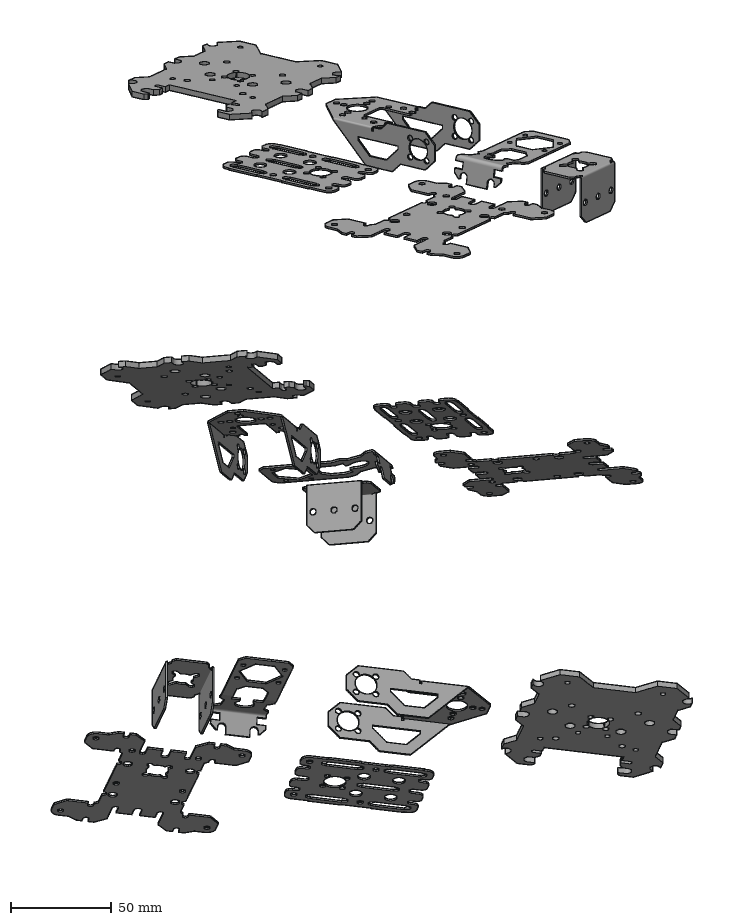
import cadquery as cq
import math

SHEET = 1.0
BASE_THICKNESS = 3.0
CUT = 100.0

BASE_AT = (0, 0)
YOKE_AT = (72.5, 0.35)
SENSOR_AT = (174.95, 8.9)
CHANNEL_AT = (211.35, -5.2)
CAGE_AT = (101.2, -88.75)
LEG_PLATE_AT = (202.19, -111.06)

SMALL_HOLE = 2.4
SERVO_SCREW_HOLE = 2.6
BOARD_HOLE = 3.2
BOARD_PITCH = 34.0

MOUNT_BORE = 11.2
MOUNT_SCREW = 3.0
MOUNT_OFFSET = 5.0



def mirrored(half):
    """Close a right-hand half outline with its reflection in the Y axis."""
    return half + [(-x, y) for x, y in reversed(half)]


def plate(points, thickness=SHEET):
    return cq.Workplane("XY").polyline(points).close().extrude(thickness)


def both_sides(points):
    return [(side * x, y) for side in (-1, 1) for x, y in points]


def square(pitch, x=0.0, y=0.0):
    half = pitch / 2
    return [(x + i * half, y + j * half) for i in (-1, 1) for j in (-1, 1)]


def cutter(plane="XY"):
    """Workplane set back so that a CUT-long extrusion spans the part."""
    return cq.Workplane(plane).workplane(offset=-CUT / 2)


def round_holes(points, diameter, plane="XY"):
    return cutter(plane).pushPoints(points).circle(diameter / 2).extrude(CUT)


def window(points, plane="XY"):
    return cutter(plane).polyline(points).close().extrude(CUT)


def closed_slot(x, y, length, width):
    return cutter().center(x, y).slot2D(length, width).extrude(CUT)


def open_slot(x, y, width, angle, reach=8.0):
    """Slot with its round end centred on (x, y), running out of the edge at the given angle."""
    channel = cutter().center(reach / 2, 0).rect(reach, width).extrude(CUT)
    end = round_holes([(0, 0)], width)
    return channel.union(end).rotate((0, 0, 0), (0, 0, 1), angle).translate((x, y, 0))


def motor_mount(x=0.0, y=0.0, plane="XY"):
    bore = round_holes([(x, y)], MOUNT_BORE, plane)
    return bore.union(round_holes(square(2 * MOUNT_OFFSET, x, y), MOUNT_SCREW, plane))


def star_mount(bore, slot_width, offset, y=0.0):
    """Bore crossed by two diagonal slots with round ends."""
    length = 2 * math.sqrt(2) * offset + slot_width
    star = round_holes([(0, 0)], bore)
    for angle in (45, -45):
        slot = cutter().slot2D(length, slot_width, angle).extrude(CUT)
        star = star.union(slot)
    return star.translate((0, y, 0))


def round_corner(body, x, y, radius, reach=1.0):
    """Fillet the upright edges within a box of half height `reach` around (x, y)."""
    box = cq.selectors.BoxSelector((x - 1, y - reach, -1), (x + 1, y + reach, SHEET + 1))
    return body.edges("|Z").edges(box).fillet(radius)


def cut_all(body, cutters):
    for tool in cutters:
        body = body.cut(tool)
    return body


def place(body, position):
    return body.translate((position[0], position[1], 0)).solids()



def make_base_plate():
    half_width = 40.8
    waist = 35.5
    top = 43.15
    bottom = -49.25
    bay_top = -30.55
    bay_half = 20.4
    shoulder = 30.0
    lug_half = 6.5
    step = half_width - waist
    slot = 5.12

    half = [
        (10.8, top - 8.9),
        (19.9, top),
        (shoulder, top),
        (half_width, top - (half_width - shoulder)),
        (half_width, 26.7),
        (waist, 26.7 - step),
        (waist, lug_half + step),
        (half_width, lug_half),
        (half_width, -lug_half),
        (waist, -lug_half - step),
        (waist, -26.4),
        (half_width, -26.4 - step),
        (half_width, -38.1),
        (29.8, bottom),
        (22.7, bottom),
        (21.2, bottom + 1.5),
        (21.2, bottom + 2.5),
        (22.9, -41.6),
        (bay_half, -39.1),
        (bay_half, bay_top),
    ]
    body = plate(mirrored(half), BASE_THICKNESS)

    cuts = [
        motor_mount(),
        round_holes(both_sides([(24.9, 5.9), (13.0, -6.0)]), 5.0),
        round_holes(square(BOARD_PITCH, 0, -3.0), BOARD_HOLE),
        round_holes(both_sides([(24.45, 36.0), (24.45, -22.0)]), SERVO_SCREW_HOLE),
        round_holes(both_sides([(7.5, -11.9)]), SERVO_SCREW_HOLE),
    ]
    slots = [
        (38.2, 31.5, slot, 45),
        (38.0, 0.0, slot, 0),
        (38.2, -37.9, slot, -45),
        (25.0, -43.85, slot, 180),
        (24.4, -35.25, SMALL_HOLE, 180),
    ]
    for x, y, width, angle in slots:
        cuts.append(open_slot(x, y, width, angle))
        cuts.append(open_slot(-x, y, width, 180 - angle))
    return cut_all(body, cuts)



def make_yoke():
    half_width = 19.6
    nose_x = -16.3
    nose_half = 4.1
    shoulder_x = nose_x + half_width - nose_half
    fold_end = 22.7
    fold_radius = 0.95
    relief = 1.0
    prong_x = 26.8
    prong_y = 10.4
    bay_x = 8.9
    bay_half = 7.6

    half = [
        (nose_x, nose_half),
        (shoulder_x, half_width),
        (fold_end, half_width),
        (23.8, 16.2),
        (prong_x, 12.6),
        (prong_x, bay_half),
        (bay_x + 0.8, bay_half),
        (bay_x, bay_half - 0.8),
    ]
    web = plate(half + [(x, -y) for x, y in reversed(half)])
    web = web.edges("|X").edges(">Z").edges(">Y or <Y").fillet(fold_radius)

    mount_x = 51.2
    mount_z = -5.0
    end_half = 10.0
    end_flat = end_half * math.tan(math.pi / 8)
    top_z = mount_z + end_half
    low_z = mount_z - end_half
    arm_bottom = -20.0
    arm_outline = [
        (fold_end, 0),
        (shoulder_x, 0),
        (shoulder_x - arm_bottom, arm_bottom),
        (35.2, arm_bottom),
        (35.2 + low_z - arm_bottom, low_z),
        (mount_x + end_flat, low_z),
        (mount_x + end_half, mount_z - end_flat),
        (mount_x + end_half, mount_z + end_flat),
        (mount_x + end_flat, top_z),
        (32.0, top_z),
        (32.0 - (top_z - SHEET), SHEET),
        (fold_end + relief, SHEET),
        (fold_end + relief, -relief),
        (fold_end, -relief),
    ]
    arm_window = [
        (14.3, -5.8),
        (38.7, -5.8),
        (38.7, -7.4),
        (31.5, -14.6),
        (21.5, -14.6),
        (14.3, -7.4),
    ]
    body = web
    for outer_y in (half_width, SHEET - half_width):
        arm = cq.Workplane("XZ", origin=(0, outer_y, 0)).polyline(arm_outline).close().extrude(SHEET)
        body = body.union(arm)

    cross = [(-1, 0), (0, 1), (0, -1)]
    return cut_all(body, [
        round_holes([(0, 0)], 10.6),
        round_holes([(8.2 * i, 8.2 * j) for i, j in cross], BOARD_HOLE),
        round_holes([(12.8 * i, 12.8 * j) for i, j in cross], 3.0),
        round_holes([(11.8, prong_y), (11.8, -prong_y)], SERVO_SCREW_HOLE),
        round_holes([(19.1, 12.8), (19.1, -12.8)], BOARD_HOLE),
        open_slot(prong_x - 1.2, prong_y, SMALL_HOLE, 0),
        open_slot(prong_x - 1.2, -prong_y, SMALL_HOLE, 0),
        motor_mount(mount_x, mount_z, "XZ"),
        window(arm_window, "XZ"),
    ])



def make_sensor_bracket():
    half_width = 14.1
    top_y = 13.85
    rise_y = -24.9
    rise_angle = math.radians(10.8)
    slope_length = 21.2
    bend_radius = 2.0
    flange_length = 11.5

    along = (-math.cos(rise_angle), math.sin(rise_angle))
    normal = (math.sin(rise_angle), math.cos(rise_angle))

    def on_slope(distance, height):
        """Point on the sloping sheet, measured from the start of its upper face."""
        return (
            rise_y + distance * along[0] + height * normal[0],
            SHEET + distance * along[1] + height * normal[1],
        )

    end = slope_length + bend_radius
    bend_mid = math.sqrt(0.5)
    inner_radius = bend_radius - SHEET
    profile = (
        cq.Workplane("YZ")
        .workplane(offset=-half_width)
        .moveTo(top_y, 0)
        .lineTo(top_y, SHEET)
        .lineTo(rise_y, SHEET)
        .lineTo(*on_slope(slope_length, 0))
        .threePointArc(
            on_slope(slope_length + bend_radius * bend_mid, bend_radius * (bend_mid - 1)),
            on_slope(end, -bend_radius),
        )
        .lineTo(*on_slope(end, -bend_radius - flange_length))
        .lineTo(*on_slope(end - SHEET, -bend_radius - flange_length))
        .lineTo(*on_slope(end - SHEET, -bend_radius))
        .threePointArc(
            on_slope(slope_length + inner_radius * bend_mid, inner_radius * bend_mid - bend_radius),
            on_slope(slope_length, -SHEET),
        )
        .lineTo(rise_y - SHEET * math.tan(rise_angle / 2), 0)
        .close()
        .extrude(2 * half_width)
    )

    plan = [
        (10.9, top_y),
        (half_width, top_y - 3.2),
        (half_width, -29.1),
        (10.9, -32.3),
        (10.9, -39.4),
        (half_width, -42.6),
        (half_width, -CUT),
    ]
    body = profile.intersect(window(mirrored(plan)))

    hexagon = [(11.2, 0), (4.9, 9.0), (-4.9, 9.0), (-11.2, 0), (-4.9, -9.0), (4.9, -9.0)]
    keyhole_y = -34.9
    keyhole = [
        (4.4, -13.9),
        (8.1, -17.8),
        (8.1, -29.1),
        (3.5, -29.1),
        (3.5, keyhole_y),
    ]
    body = cut_all(body, [
        window(hexagon),
        round_holes(both_sides([(10.6, 6.7), (10.6, -6.6)]), SMALL_HOLE),
        window(mirrored(keyhole)),
        round_holes([(0, keyhole_y)], 10.0),
    ])

    neck_half = 9.5
    bend_z = 2.6
    tab_half = 6.2
    notch_half = 2.1
    notch_x = tab_half + notch_half
    notch_z = -4.6
    ear_top = -1.2
    ear_bottom = -6.0
    ear_inner = notch_x + notch_half
    flange_outline = [
        (half_width, CUT),
        (half_width, bend_z),
        (neck_half, bend_z),
        (neck_half, ear_top),
        (half_width, ear_top),
        (half_width, -3.2),
        (11.3, ear_bottom),
        (ear_inner, ear_bottom),
        (ear_inner, notch_z),
        (tab_half, notch_z),
        (tab_half, -CUT),
    ]
    flange_y = on_slope(slope_length, 0)[0]
    flange_zone = (
        cq.Workplane("XZ", origin=(0, flange_y, 0))
        .polyline(mirrored(flange_outline))
        .close()
        .extrude(CUT)
        .cut(round_holes(both_sides([(notch_x, notch_z)]), 2 * notch_half, "XZ"))
    )
    rest = cq.Workplane("XY").box(CUT, CUT, CUT, centered=(True, False, True))
    rest = rest.translate((0, flange_y, 0))
    return body.intersect(flange_zone.union(rest))



def make_channel():
    half_width = 12.45
    top_half_length = 17.9
    flange_half_length = 14.3
    flange_bottom = -24.11
    flange_clip = 4.1
    bend_radius = 1.2
    relief_inner = 9.5
    fold_end = 12.3
    top_clip = 1.7
    bore = 10.4
    lobe_offset = 5.5
    flange_hole_z = -13.3
    fold_half = half_width - bend_radius

    top = [
        (7.8, top_half_length),
        (relief_inner, top_half_length - top_clip),
        (relief_inner, flange_half_length),
        (fold_half, fold_end),
        (fold_half, -fold_end),
        (relief_inner, -flange_half_length),
        (relief_inner, top_clip - top_half_length),
        (7.8, -top_half_length),
    ]
    body = plate(mirrored(top))

    height = SHEET - flange_bottom
    outer = (
        cq.Workplane("XY", origin=(0, 0, flange_bottom))
        .box(2 * half_width, 2 * flange_half_length, height, centered=(True, True, False))
        .edges("|Y and >Z")
        .fillet(bend_radius)
    )
    inner = (
        cq.Workplane("XY", origin=(0, 0, flange_bottom))
        .box(2 * (half_width - SHEET), 2 * flange_half_length, height - SHEET, centered=(True, True, False))
        .edges("|Y and >Z")
        .fillet(bend_radius - SHEET)
    )
    strip = outer.cut(inner).edges("|X and <Z").chamfer(flange_clip)

    relief_length = flange_half_length - fold_end
    relief_y = flange_half_length - relief_length / 2
    relief_width = half_width - SHEET - relief_inner
    relief_x = relief_inner + relief_width / 2
    reliefs = (
        cq.Workplane("XY", origin=(0, 0, -bend_radius))
        .pushPoints([(i * relief_x, j * relief_y) for i in (-1, 1) for j in (-1, 1)])
        .rect(relief_width, relief_length)
        .extrude(2 * bend_radius)
    )
    return cut_all(body.union(strip.cut(reliefs)), [
        star_mount(bore, BOARD_HOLE, lobe_offset),
        round_holes([(y, flange_hole_z) for y in (-11, 0, 11)], BOARD_HOLE, "YZ"),
    ])



def make_cage_plate():
    half_length = 33.95
    half_width = 21.5
    corner_radius = 4.0
    slot_x = (-19.7, 12.5)
    slot_length = 21.8
    slot_width = 3.2
    belly_length = 17.0
    belly = 0.4
    body = (
        cq.Workplane("XY")
        .rect(2 * half_length, 2 * half_width)
        .extrude(SHEET)
    )
    bulges = (
        cq.Workplane("XY")
        .pushPoints([(x, 0) for x in slot_x])
        .rect(belly_length, 2 * (half_width + belly))
        .extrude(SHEET)
    )
    body = body.union(bulges)

    notch_y = 11.3
    side_notch = (4.7, 3.2, 2.5)
    middle_notch = (6.3, 4.0, 3.0)
    for side in (-1, 1):
        end_x = side * half_length
        outward = 90 - 90 * side
        for y, notch in ((-notch_y, side_notch), (0, middle_notch), (notch_y, side_notch)):
            depth, width, mouth_radius = notch
            body = body.cut(open_slot(end_x - side * depth, y, width, outward))
            body = round_corner(body, end_x, y, mouth_radius, width)
        for y in (-half_width, half_width):
            body = round_corner(body, end_x, y, corner_radius)

    def belly_slot(x, y):
        middle = cutter().center(x, y).rect(belly_length - 1.0, slot_width + 2 * belly).extrude(CUT)
        return closed_slot(x, y, slot_length, slot_width).union(middle)

    mount_x = 12.4
    cable_hole = 6.4
    cuts = [
        belly_slot(-9.8, 0),
        motor_mount(mount_x, 0),
        round_holes(square(BOARD_PITCH, mount_x, 0), BOARD_HOLE),
        round_holes([(x, y) for x in (-18.3, -0.45) for y in (-8.75, 8.75)], cable_hole),
    ]
    for y in (-17.0, 17.0):
        for x in slot_x:
            cuts.append(belly_slot(x, y))
    return cut_all(body, cuts)



def make_leg_plate():
    half_width = 42.1
    half_length = 45.25
    waist = 21.0
    leg_inner = 13.0
    leg_root = 27.0
    leg_tip = 42.4
    tip_radius = 4.6
    root_clip = 1.5
    foot_clip = 5.4
    tab_end = 33.4
    leg_slot = 3.0
    hip_x = 23.2
    hip_y = 42.8
    root_x = 24.3
    root_y = 28.7
    root_reach = 4.0
    gap = 3.0
    centre_gap = 4.0
    gap_floor = 27.3
    centre_drop = 0.8

    upper = [
        (waist, leg_root - root_clip),
        (waist + root_clip, leg_root),
        (half_width - foot_clip, leg_root),
        (half_width, leg_root + foot_clip),
        (half_width, leg_tip),
        (32.2, leg_tip),
        (27.6, half_length),
        (18.6, half_length),
        (leg_inner, 40.2),
        (leg_inner, tab_end),
    ]
    lower = [(x, -y) for x, y in reversed(upper)]
    body = plate(mirrored(lower + upper))
    for x, y in both_sides([(half_width, leg_tip), (half_width, -leg_tip)]):
        body = round_corner(body, x, y, tip_radius)

    nick_y = 16.0
    nick = 3.6
    strap_hole = 4.6
    foot_hole = 3.0
    mount_y = 12.6
    cuts = [
        star_mount(MOUNT_BORE, MOUNT_SCREW, MOUNT_OFFSET, mount_y),
        round_holes(square(BOARD_PITCH, 0, mount_y), BOARD_HOLE),
        round_holes(square(2 * nick_y), strap_hole),
        round_holes(both_sides([(waist, nick_y), (waist, -nick_y)]), nick),
        round_holes(both_sides([(37.45, 37.55), (37.45, -37.55)]), foot_hole),
    ]
    for end in (-1, 1):
        outward = 90 * end
        cuts.append(open_slot(0, end * (gap_floor - centre_drop + centre_gap / 2), centre_gap, outward))
        for side in (-1, 1):
            gap_x = side * (leg_inner - gap / 2)
            cuts.append(open_slot(gap_x, end * (gap_floor + gap / 2), gap, outward))
            cuts.append(open_slot(side * hip_x, end * hip_y, leg_slot, outward))
            cuts.append(open_slot(side * root_x, end * root_y, leg_slot, -outward, root_reach))
    return cut_all(body, cuts)



base_plate = place(make_base_plate(), BASE_AT)
yoke = place(make_yoke(), YOKE_AT)
sensor_bracket = place(make_sensor_bracket(), SENSOR_AT)
channel = place(make_channel(), CHANNEL_AT)
cage_plate = place(make_cage_plate(), CAGE_AT)
leg_plate = place(make_leg_plate(), LEG_PLATE_AT)

result = cq.Compound.makeCompound([
    base_plate.val(),
    yoke.val(),
    sensor_bracket.val(),
    channel.val(),
    cage_plate.val(),
    leg_plate.val(),
])